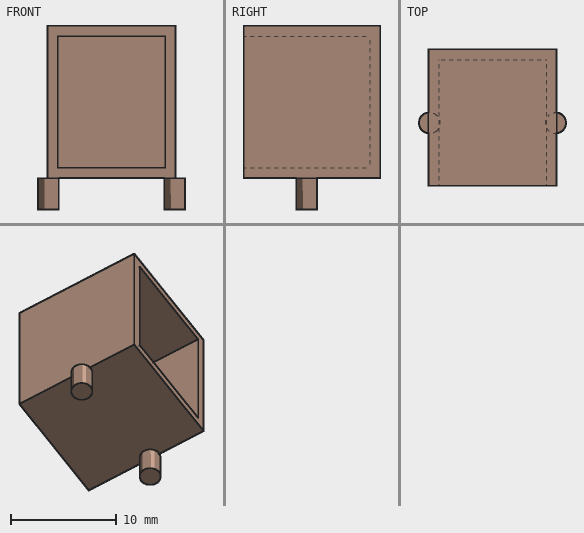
import cadquery as cq

total_width = 14.0
total_height = 17.5
body_depth = 13.0

body_width = 12.2
wall = 1.0

pin_diameter = 2.0
pin_length = 3.0
pin_offset_x = (total_width - pin_diameter) / 2
pin_offset_y = -0.5

body_height = total_height - pin_length


def make_housing():
    """Box with its bottom face at Z = 0 and a blind cavity open at the front."""
    body = cq.Workplane("XY").box(
        body_width, body_depth, body_height, centered=(True, True, False)
    )
    return body.faces("<Y").shell(-wall)


def make_pin(x):
    """Round pin hanging down from the bottom face of the housing."""
    return (
        cq.Workplane("XY")
        .center(x, pin_offset_y)
        .circle(pin_diameter / 2)
        .extrude(-pin_length)
    )


result = make_housing()
for side in (-1, 1):
    result = result.union(make_pin(side * pin_offset_x))